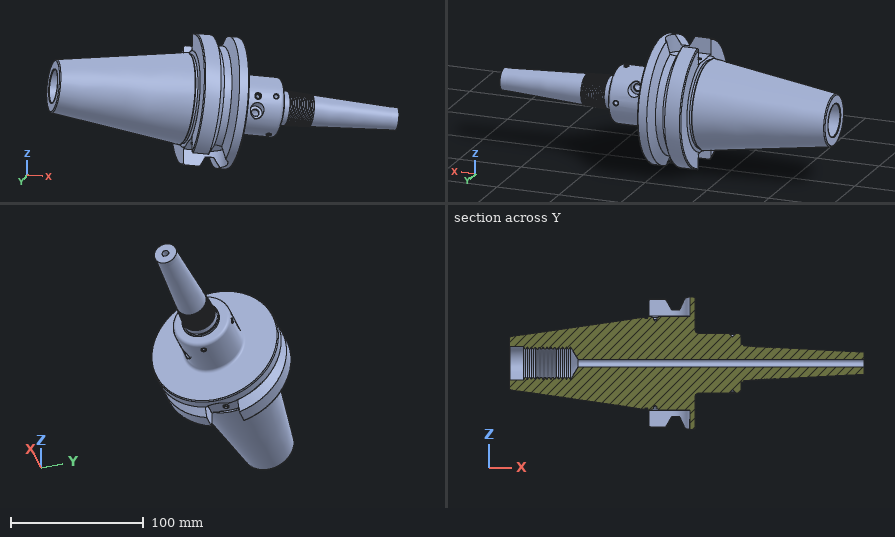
import cadquery as cq
import math

total_length = 266.8

taper_length = 101.5
gauge_radius = 35.0
taper_half_slope = 7 / 48
shank_end_chamfer = 0.8
relief_radius = 34.0
relief_start = 102.2
relief_end = 103.8

flange_start = 104.9
flange_end = 139.8
flange_radius = 50.02
rear_rim_radius = 50.0
flange_root_radius = 36.5
flange_chamfer = 0.8
vee_start = 117.7
vee_floor_start = 122.2
vee_floor_end = 128.0
vee_end = 132.0
vee_floor_radius = 42.2

slot_width = 25.5
slot_end = 135.5
slot_floor = 35.5
slot_screw_position = 109.7
slot_screw_diameter = 4.5
slot_screw_recess = 1.0
slot_screw_socket_diameter = 2.32
slot_screw_socket_depth = 1.5

body_radius = 22.7
body_end = 174.5
body_root_fillet = 2.7
body_end_round = 3.0

collar_radius = 14.5
collar_end = 176.4
extension_root_radius = 13.3
extension_tip_radius = 8.8
tip_land_length = 5.3
tip_land_start = total_length - tip_land_length

band_start = 181.0
groove_count = 10
groove_width = 1.01
groove_pitch = 2 * groove_width
groove_depth = 0.3

bore_radius = 12.5
bore_mouth_radius = 13.0
bore_depth = 10.7
thread_major_radius = 12.0
thread_minor_radius = 10.0
thread_pitch = 3.0
thread_turns = 12
drill_half_angle = math.radians(59)
coolant_radius = 2.53

clamp_position = 153.7
clamp_hole_diameter = 10.5
clamp_hole_offset = 11.5
clamp_recess = 8.5
clamp_socket_diameter = 6.0
clamp_socket_depth = 1.5
small_screw_position = 167.8
small_screw_count = 4
small_screw_diameter = 4.0
small_screw_recess = 0.8
small_screw_socket_diameter = 3.5
small_screw_socket_depth = 0.3
side_screw_position = clamp_position
side_screw_offset = -1.0
side_screw_diameter = 5.0
side_screw_recess = 1.0
side_screw_socket_diameter = 3.5
side_screw_socket_depth = 1.0


def extension_radius(x):
    """Outer radius of the tapered extension at position x."""
    fraction = (x - collar_end) / (tip_land_start - collar_end)
    return extension_root_radius + fraction * (extension_tip_radius - extension_root_radius)


def revolve_outline(outline):
    """Turn a half outline in the XY plane about the X axis."""
    return outline.close().revolve(360, (0, 0, 0), (1, 0, 0))


def turned_body():
    shank_radius = gauge_radius - taper_length * taper_half_slope
    chamfer_radius = shank_radius + shank_end_chamfer * taper_half_slope
    flange_edge = flange_radius - flange_chamfer
    rounding = math.sqrt(0.5)
    root_corner = body_radius + body_root_fillet
    root_mid = (
        flange_end + body_root_fillet * (1 - rounding),
        root_corner - body_root_fillet * rounding,
    )
    round_mid = (
        body_end - body_end_round * (1 - rounding),
        body_radius - body_end_round * (1 - rounding),
    )
    outline = (
        cq.Workplane("XY")
        .moveTo(0, 0)
        .lineTo(0, shank_radius - shank_end_chamfer)
        .lineTo(shank_end_chamfer, chamfer_radius)
        .lineTo(taper_length, gauge_radius)
        .lineTo(relief_start, relief_radius)
        .lineTo(relief_end, relief_radius)
        .lineTo(flange_start, flange_root_radius)
        .lineTo(flange_start, rear_rim_radius - flange_chamfer)
        .lineTo(flange_start + flange_chamfer, rear_rim_radius)
        .lineTo(vee_start, rear_rim_radius)
        .lineTo(vee_floor_start, vee_floor_radius)
        .lineTo(vee_floor_end, vee_floor_radius)
        .lineTo(vee_end, flange_radius)
        .lineTo(flange_end - flange_chamfer, flange_radius)
        .lineTo(flange_end, flange_edge)
        .lineTo(flange_end, root_corner)
        .threePointArc(root_mid, (flange_end + body_root_fillet, body_radius))
        .lineTo(body_end - body_end_round, body_radius)
        .threePointArc(round_mid, (body_end, body_radius - body_end_round))
        .lineTo(body_end, collar_radius)
        .lineTo(collar_end, collar_radius)
        .lineTo(collar_end, extension_root_radius)
        .lineTo(tip_land_start, extension_tip_radius)
        .lineTo(total_length, extension_tip_radius)
        .lineTo(total_length, 0)
    )
    return revolve_outline(outline)


def band_groove(x):
    """One shallow ring groove whose floor follows the extension taper."""
    x_end = x + groove_width
    outer = extension_root_radius + groove_depth
    outline = (
        cq.Workplane("XY")
        .moveTo(x, extension_radius(x) - groove_depth)
        .lineTo(x_end, extension_radius(x_end) - groove_depth)
        .lineTo(x_end, outer)
        .lineTo(x, outer)
    )
    return revolve_outline(outline)


def drawbar_bore():
    """Plain mouth, thread cut as ring grooves, drill point and coolant hole."""
    mouth_chamfer = bore_mouth_radius - bore_radius
    thread_start = bore_depth + thread_pitch / 2
    outline = (
        cq.Workplane("XY")
        .moveTo(0, 0)
        .lineTo(0, bore_mouth_radius)
        .lineTo(mouth_chamfer, bore_radius)
        .lineTo(bore_depth, bore_radius)
        .lineTo(bore_depth, thread_major_radius)
        .lineTo(thread_start, thread_minor_radius)
    )
    for turn in range(thread_turns):
        x = thread_start + turn * thread_pitch
        outline = outline.lineTo(x + thread_pitch / 2, thread_major_radius)
        outline = outline.lineTo(x + thread_pitch, thread_minor_radius)
    thread_end = thread_start + thread_turns * thread_pitch
    point_length = (thread_minor_radius - coolant_radius) / math.tan(drill_half_angle)
    outline = (
        outline
        .lineTo(thread_end + point_length, coolant_radius)
        .lineTo(total_length, coolant_radius)
        .lineTo(total_length, 0)
    )
    return revolve_outline(outline)


def drive_slot():
    """Round-ended key slot in the upper side of the flange."""
    end_radius = slot_width / 2
    arc_start = slot_end - end_radius
    return (
        cq.Workplane("XY", origin=(0, 0, slot_floor))
        .moveTo(taper_length, -end_radius)
        .lineTo(arc_start, -end_radius)
        .threePointArc((slot_end, 0), (arc_start, end_radius))
        .lineTo(taper_length, end_radius)
        .close()
        .extrude(flange_radius)
    )


def recessed_screw(x, surface, diameter, recess, socket_diameter, socket_depth):
    """Void above a sunk set screw on the +Z side, with its cone-bottomed socket."""
    hole = (
        cq.Workplane("XY", origin=(x, 0, surface - recess))
        .circle(diameter / 2)
        .extrude(2 * recess)
    )
    socket_radius = socket_diameter / 2
    socket = (
        cq.Workplane("XZ", origin=(x, 0, surface - recess))
        .moveTo(0, 0)
        .lineTo(socket_radius, 0)
        .lineTo(socket_radius, -socket_depth)
        .lineTo(0, -socket_depth - socket_radius)
        .close()
        .revolve(360, (0, 0, 0), (0, 1, 0))
    )
    return hole.union(socket)


def turn_about_axis(shape, angle):
    """Rotate about the X axis; 90 degrees takes the +Z side to the -Y side."""
    return shape.rotate((0, 0, 0), (1, 0, 0), angle)


part = turned_body()

for i in range(groove_count):
    part = part.cut(band_groove(band_start + i * groove_pitch))

part = part.cut(drawbar_bore())

slot_screw = recessed_screw(
    slot_screw_position,
    slot_floor,
    slot_screw_diameter,
    slot_screw_recess,
    slot_screw_socket_diameter,
    slot_screw_socket_depth,
)
slot_with_screw = drive_slot().union(slot_screw)
for angle in (0, 180):
    part = part.cut(turn_about_axis(slot_with_screw, angle))

small_screw = recessed_screw(
    small_screw_position,
    body_radius,
    small_screw_diameter,
    small_screw_recess,
    small_screw_socket_diameter,
    small_screw_socket_depth,
)
for i in range(small_screw_count):
    part = part.cut(turn_about_axis(small_screw, i * 360 / small_screw_count))

clamp_hole = recessed_screw(
    clamp_position,
    body_radius,
    clamp_hole_diameter,
    clamp_recess,
    clamp_socket_diameter,
    clamp_socket_depth,
)
for angle in (90, -90):
    offset = math.copysign(clamp_hole_offset, -angle)
    part = part.cut(turn_about_axis(clamp_hole, angle).translate((0, 0, offset)))

side_screw = recessed_screw(
    side_screw_position,
    body_radius,
    side_screw_diameter,
    side_screw_recess,
    side_screw_socket_diameter,
    side_screw_socket_depth,
)
part = part.cut(turn_about_axis(side_screw, 90).translate((0, 0, side_screw_offset)))

result = part